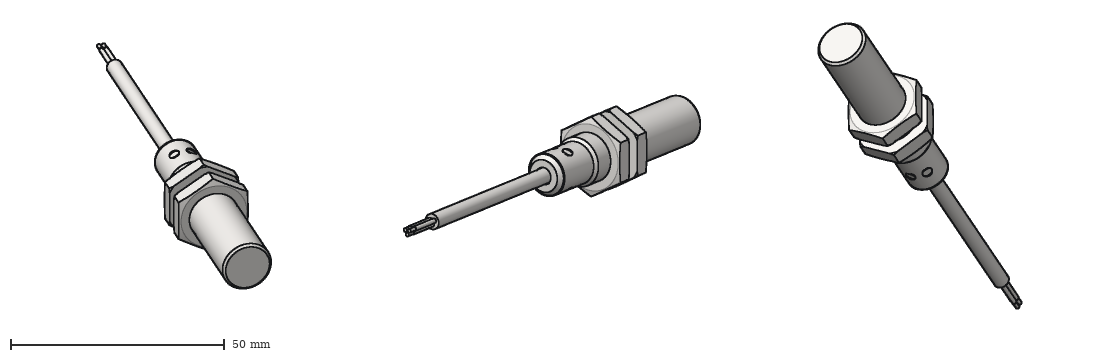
import cadquery as cq
import math

core_end = 2.0
jacket_start = 10.0
housing_rear = 54.8
sleeve_start = 56.05
cable_end = 60.0
thread_start = 67.7
sensing_face = 110.1

sleeve_diameter = 10.4
collar_diameter = 10.0
collar_chamfer = 1.05
thread_diameter = 12.0
thread_rear_chamfer = (thread_diameter - sleeve_diameter) / 2
thread_front_chamfer = 0.6
cable_hole_diameter = 4.2

window_diameter = 2.5
window_depth = 0.3
window_center = housing_rear + 6.7
window_tilt = 25.0

nut_across_flats = 17.0
nut_thickness = 4.0
nut_gap = 3.2
first_nut_start = 73.4
outer_bevel_length = 0.5
outer_bevel_diameter = 16.2
inner_bevel_length = 0.3
inner_bevel_diameter = 18.6

cable_diameter = 3.8
wire_count = 3
wire_diameter = 1.15
core_diameter = 0.95
wire_pitch_radius = wire_diameter / math.sqrt(3)
lowest_wire_angle = -90.0


def cylinder_x(diameter, start, end, y=0.0, z=0.0):
    """Solid cylinder along X between two stations."""
    section = cq.Workplane("YZ", origin=(start, y, z)).circle(diameter / 2)
    return section.extrude(end - start)


def make_housing():
    """Turned body with a blind cable hole that leaves clearance around the cable."""
    collar = cylinder_x(collar_diameter, housing_rear, sleeve_start)
    collar = collar.faces("<X").chamfer(collar_chamfer)
    sleeve = cylinder_x(sleeve_diameter, sleeve_start, thread_start)
    barrel = cylinder_x(thread_diameter, thread_start, sensing_face)
    barrel = barrel.faces("<X").chamfer(thread_rear_chamfer)
    barrel = barrel.faces(">X").chamfer(thread_front_chamfer)
    cable_hole = cylinder_x(cable_hole_diameter, housing_rear, cable_end)
    return collar.union(sleeve).union(barrel).cut(cable_hole)


def cut_windows(housing):
    """Four radial blind holes, tilted either side of the vertical plane."""
    floor_radius = sleeve_diameter / 2 - window_depth
    for side in (0.0, 180.0):
        for tilt in (-window_tilt, window_tilt):
            drill = (
                cq.Workplane("XY", origin=(window_center, 0, floor_radius))
                .circle(window_diameter / 2)
                .extrude(sleeve_diameter)
                .rotate((0, 0, 0), (1, 0, 0), side + tilt)
            )
            housing = housing.cut(drill)
    return housing


def make_nut(start, rear_bevel, front_bevel):
    """Hex nut with corners up and down; each bevel is (length, face diameter)."""
    rear_length, rear_face_diameter = rear_bevel
    front_length, front_face_diameter = front_bevel
    corner_diameter = nut_across_flats / math.cos(math.pi / 6)
    end = start + nut_thickness
    hexagon = (
        cq.Workplane("YZ", origin=(start, 0, 0))
        .transformed(rotate=(0, 0, 90))
        .polygon(6, corner_diameter)
        .extrude(nut_thickness)
    )
    bevel_envelope = (
        cq.Workplane("XY")
        .moveTo(start, 0)
        .lineTo(start, rear_face_diameter / 2)
        .lineTo(start + rear_length, corner_diameter / 2)
        .lineTo(end - front_length, corner_diameter / 2)
        .lineTo(end, front_face_diameter / 2)
        .lineTo(end, 0)
        .close()
        .revolve(360, (0, 0, 0), (1, 0, 0))
    )
    return hexagon.intersect(bevel_envelope).cut(cylinder_x(thread_diameter, start, end))


housing = cut_windows(make_housing())

outer_bevel = (outer_bevel_length, outer_bevel_diameter)
inner_bevel = (inner_bevel_length, inner_bevel_diameter)
second_nut_start = first_nut_start + nut_thickness + nut_gap
nuts = [
    make_nut(first_nut_start, outer_bevel, inner_bevel),
    make_nut(second_nut_start, inner_bevel, outer_bevel),
]

cable = cylinder_x(cable_diameter, jacket_start, cable_end)

wires = []
cores = []
for index in range(wire_count):
    angle = math.radians(lowest_wire_angle + index * 360.0 / wire_count)
    y = wire_pitch_radius * math.cos(angle)
    z = wire_pitch_radius * math.sin(angle)
    wires.append(cylinder_x(wire_diameter, core_end, jacket_start, y, z))
    cores.append(cylinder_x(core_diameter, 0, core_end, y, z))

bodies = [housing, *nuts, cable, *wires, *cores]
result = cq.Compound.makeCompound([body.val() for body in bodies])